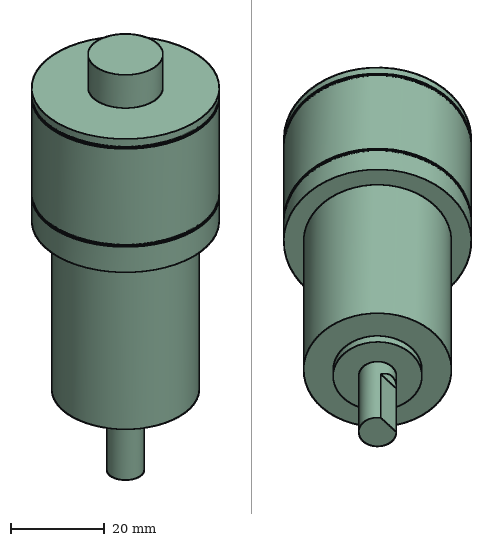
import cadquery as cq

TOTAL_LENGTH = 105.9

SHAFT_DIAMETER = 8.0
STUB_DIAMETER = 16.0
PILOT_DIAMETER = 19.0
BODY_DIAMETER = 31.6
GROOVE_DIAMETER = 39.5
HEAD_DIAMETER = 40.0

SHAFT_LENGTH = 18.6
PILOT_LENGTH = 2.0
BODY_LENGTH = 42.8
LOWER_BAND_LENGTH = 6.5
GROOVE_WIDTH = 0.5
HEAD_LENGTH = 24.5
TOP_FLANGE_LENGTH = 2.0

FLAT_DEPTH = 1.0
ROUND_SHAFT_LENGTH = 3.2

SECTIONS = [
    (SHAFT_DIAMETER, SHAFT_LENGTH),
    (PILOT_DIAMETER, PILOT_LENGTH),
    (BODY_DIAMETER, BODY_LENGTH),
    (HEAD_DIAMETER, LOWER_BAND_LENGTH),
    (GROOVE_DIAMETER, GROOVE_WIDTH),
    (HEAD_DIAMETER, HEAD_LENGTH),
    (GROOVE_DIAMETER, GROOVE_WIDTH),
    (HEAD_DIAMETER, TOP_FLANGE_LENGTH),
]


def stepped_body():
    """Stack the round sections along Z; the top stub takes the remaining length."""
    stub_length = TOTAL_LENGTH - sum(length for _, length in SECTIONS)
    stack = cq.Workplane("XY")
    for diameter, length in SECTIONS + [(STUB_DIAMETER, stub_length)]:
        stack = stack.circle(diameter / 2).extrude(length).faces(">Z").workplane()
    return stack


def shaft_flat_cutter():
    """Material removed beside the shaft, ending in a 45 degree ramp."""
    radius = SHAFT_DIAMETER / 2
    flat_y = radius - FLAT_DEPTH
    ramp_top = SHAFT_LENGTH - ROUND_SHAFT_LENGTH
    return (
        cq.Workplane("YZ")
        .moveTo(flat_y, 0)
        .lineTo(radius, 0)
        .lineTo(radius, ramp_top)
        .lineTo(flat_y, ramp_top - FLAT_DEPTH)
        .close()
        .extrude(radius, both=True)
    )


result = stepped_body().cut(shaft_flat_cutter())